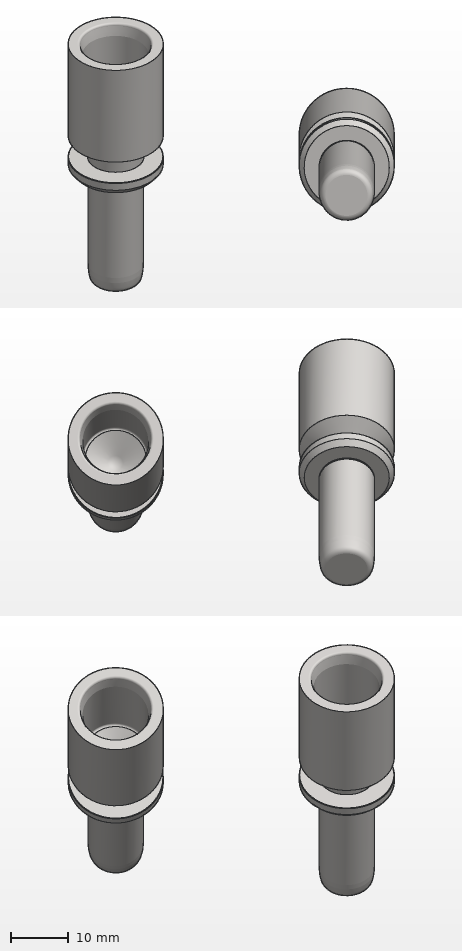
import cadquery as cq
import math

length = 49.1
top_z = length / 2
bottom_z = -length / 2
head_radius = 8.25

head_length = 19.15
head_cone_length = 1.9
neck_radius = 4.9
neck_length = 2.45

collar_top_chamfer = 0.1
collar_rim_length = 1.5
collar_bevel_length = 1.1
collar_bottom_radius = 7.35

shank_radius = 4.8
undercut_radius = 4.65
undercut_length = 0.3

lead_in_length = 1.1
lead_in_radius = 4.75
nose_length = 2.3
nose_curve_end = 0.75
nose_radius = 4.5
tip_radius = 3.65

mouth_radius = 6.6
mouth_rounding = 0.45
entry_depth = 2.25
socket_radius = 5.7
socket_depth = 14.75
floor_fillet = 0.4
drill_point_angle = 118.0


def make_body():
    """Revolve the outer profile about Z."""
    head_end_z = top_z - head_length
    neck_top_z = head_end_z - head_cone_length
    collar_top_z = neck_top_z - neck_length
    rim_end_z = collar_top_z - collar_rim_length
    collar_end_z = rim_end_z - collar_bevel_length
    undercut_end_z = collar_end_z - undercut_length
    nose_top_z = bottom_z + nose_length
    curve_end_z = bottom_z + nose_curve_end
    curve_height = nose_length - nose_curve_end
    curve_inset = lead_in_radius - nose_radius
    nose_curve_radius = (curve_height**2 + curve_inset**2) / (2 * curve_inset)
    profile = (
        cq.Workplane("XZ")
        .moveTo(0, top_z)
        .lineTo(head_radius, top_z)
        .lineTo(head_radius, head_end_z)
        .lineTo(neck_radius, neck_top_z)
        .lineTo(neck_radius, collar_top_z)
        .lineTo(head_radius - collar_top_chamfer, collar_top_z)
        .lineTo(head_radius, collar_top_z - collar_top_chamfer)
        .lineTo(head_radius, rim_end_z)
        .lineTo(collar_bottom_radius, collar_end_z)
        .lineTo(undercut_radius, collar_end_z)
        .lineTo(undercut_radius, undercut_end_z)
        .lineTo(shank_radius, undercut_end_z)
        .lineTo(shank_radius, nose_top_z + lead_in_length)
        .lineTo(lead_in_radius, nose_top_z)
        .radiusArc((nose_radius, curve_end_z), nose_curve_radius)
        .tangentArcPoint((tip_radius, bottom_z), relative=False)
        .lineTo(0, bottom_z)
        .close()
    )
    return profile.revolve(360, (0, 0, 0), (0, 1, 0))


def make_socket():
    """Revolve the rounded mouth, tapered entry and bore with its rounded drill point."""
    entry_radius = mouth_radius - mouth_rounding
    entry_end_z = top_z - entry_depth
    wall_end_z = top_z - socket_depth
    floor_radius = socket_radius - floor_fillet
    floor_z = wall_end_z - floor_fillet
    point_depth = floor_radius / math.tan(math.radians(drill_point_angle / 2))
    profile = (
        cq.Workplane("XZ")
        .moveTo(0, top_z)
        .lineTo(mouth_radius, top_z)
        .radiusArc((entry_radius, top_z - mouth_rounding), -mouth_rounding)
        .lineTo(socket_radius, entry_end_z)
        .lineTo(socket_radius, wall_end_z)
        .radiusArc((floor_radius, floor_z), floor_fillet)
        .lineTo(0, floor_z - point_depth)
        .close()
    )
    return profile.revolve(360, (0, 0, 0), (0, 1, 0))


result = make_body().cut(make_socket())